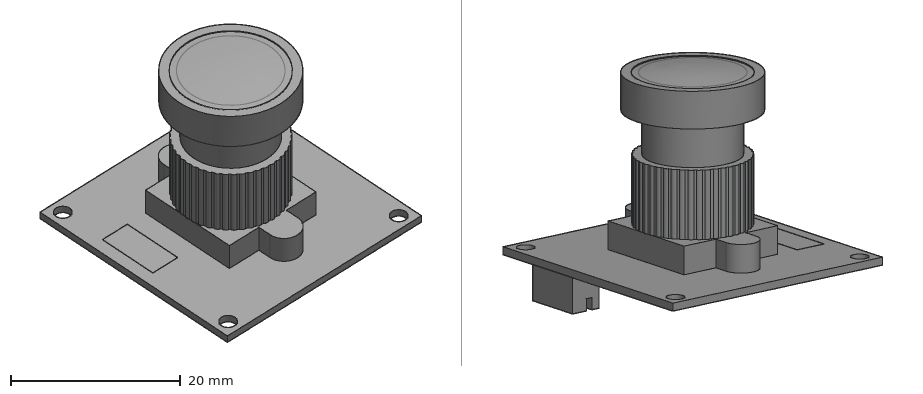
import cadquery as cq
import math

board_width = 31.7
board_length = 31.8
board_thickness = 1.0
mount_hole_diameter = 2.2
mount_hole_spacing = 27.95

pad_width = 8.52
pad_length = 4.07
pad_height = 0.03
pad_center_x = -2.83
pad_center_y = -12.1

holder_side = 14.18
holder_height = 3.5
ear_radius = 2.25
ear_offset = 9.0

sleeve_radius = 7.1
sleeve_height = 8.5
neck_radius = 6.0
neck_height = 5.4
head_radius = 8.5
head_height = 4.6

rib_count = 44
rib_radius = 0.5
rib_projection = 0.13

rim_radius = 7.25
rim_depth = 0.13
dome_radius = 6.4
dome_base_depth = 0.048
dome_projection = 0.35

connector_width = 7.47
connector_length = 4.05
connector_height = 4.48
connector_center_x = 6.77
connector_center_y = 13.75
slot_width = 0.8
slot_depth = 1.5
slot_center_y = 13.23
pin_diameter = 0.6
pin_length = 0.55


def make_board():
    board = (
        cq.Workplane("XY")
        .box(board_width, board_length, board_thickness, centered=(True, True, False))
        .translate((0, 0, -board_thickness))
        .faces(">Z")
        .workplane(origin=(0, 0, 0))
        .rect(mount_hole_spacing, mount_hole_spacing, forConstruction=True)
        .vertices()
        .hole(mount_hole_diameter)
    )
    pad = (
        cq.Workplane("XY")
        .center(pad_center_x, pad_center_y)
        .rect(pad_width, pad_length)
        .extrude(pad_height)
    )
    return board.union(pad)


def make_holder():
    block = cq.Workplane("XY").rect(holder_side, holder_side).extrude(holder_height)
    ears = (
        cq.Workplane("XY")
        .slot2D(2 * (ear_offset + ear_radius), 2 * ear_radius)
        .extrude(holder_height)
    )
    return block.union(ears)


def make_lens():
    neck_bottom = holder_height + sleeve_height
    head_bottom = neck_bottom + neck_height
    head_top = head_bottom + head_height
    rim_bottom = head_top - rim_depth
    dome_base = head_top - dome_base_depth
    dome_top = head_top + dome_projection

    cap_height = dome_top - dome_base
    sphere_radius = (dome_radius**2 + cap_height**2) / (2 * cap_height)
    half_angle = math.asin(dome_radius / sphere_radius) / 2
    dome_mid_radius = sphere_radius * math.sin(half_angle)
    dome_mid_height = dome_top - sphere_radius * (1 - math.cos(half_angle))

    body = (
        cq.Workplane("XZ")
        .moveTo(0, holder_height)
        .lineTo(sleeve_radius, holder_height)
        .lineTo(sleeve_radius, neck_bottom)
        .lineTo(neck_radius, neck_bottom)
        .lineTo(neck_radius, head_bottom)
        .lineTo(head_radius, head_bottom)
        .lineTo(head_radius, head_top)
        .lineTo(rim_radius, head_top)
        .lineTo(rim_radius, rim_bottom)
        .lineTo(dome_radius, dome_base)
        .threePointArc((dome_mid_radius, dome_mid_height), (0, dome_top))
        .close()
        .revolve(360, (0, 0, 0), (0, 1, 0))
    )
    ribs = (
        cq.Workplane("XY")
        .workplane(offset=holder_height)
        .polarArray(sleeve_radius + rib_projection - rib_radius, 0, 360, rib_count)
        .circle(rib_radius)
        .extrude(sleeve_height)
    )
    return body.union(ribs)


def make_connector():
    top = -board_thickness
    bottom = top - connector_height
    slot_top = bottom + slot_depth
    housing = (
        cq.Workplane("XY")
        .workplane(offset=bottom)
        .center(connector_center_x, connector_center_y)
        .rect(connector_width, connector_length)
        .extrude(connector_height)
    )
    slot = (
        cq.Workplane("XY")
        .workplane(offset=bottom)
        .center(connector_center_x, slot_center_y)
        .rect(connector_width, slot_width)
        .extrude(slot_depth)
    )
    pin = (
        cq.Workplane("XY")
        .workplane(offset=slot_top)
        .center(connector_center_x, slot_center_y)
        .circle(pin_diameter / 2)
        .extrude(-pin_length)
    )
    return housing.cut(slot).union(pin)


board = make_board()
holder = make_holder()
lens = make_lens()
connector = make_connector()

result = cq.Compound.makeCompound([board.val(), holder.val(), lens.val(), connector.val()])